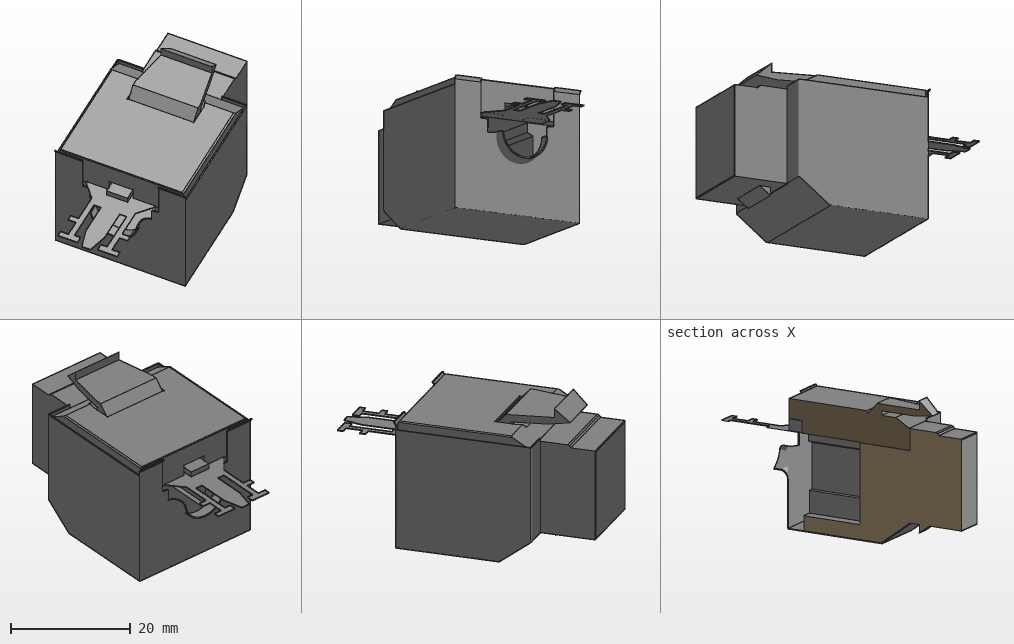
import cadquery as cq
import math


SHELL_WIDTH = 24.0
SHELL_LENGTH = 24.0
SHEET = 0.25
SIDE_TOP_Z = 21.3
BEND_RADIUS = 0.3
SLOPE_END_Z = 4.35
SLOPE_START_Y = 18.2
LIP_BASE_Z = 22.1
LIP_REACH = 0.4
LIP_RISE = 0.6

WINDOW_HALF_WIDTH = 7.05
WINDOW_LOWER_HALF_WIDTH = 5.75
WINDOW_STEP_Z = 16.0
WINDOW_CORNER_RADIUS = 0.3

NECK_AXIS_Z = 13.75
NECK_OUTER_RADIUS = 4.35
NECK_LENGTH = 2.6
FLARE_RADIUS = 1.3
NECK_CORNER_RADIUS = 0.65

CORE_HALF_WIDTH = 11.55
CORE_REAR_Y = 3.2
NOSE_HALF_WIDTH = 7.33
NOSE_END_Y = 33.75
NOSE_TOP_Z = 20.8
NOSE_END_TOP_Z = 20.35
NOSE_STEP_Y = 29.35
NOSE_STEP_RUN = 0.25
NOSE_SHOULDER_Y = 28.8
NOSE_SHOULDER_Z = 20.65
NOSE_EDGE_CHAMFER = 0.15
FOOT_TIP_Y = 27.5
CATCH_Y = 25.5
FOOT_DEPTH = 1.45
FOOT_HALF_WIDTH = 4.23

CAVITY_TOP_HALF_WIDTH = 3.75
CAVITY_MID_HALF_WIDTH = 4.9
CAVITY_LOW_HALF_WIDTH = 4.0
CAVITY_TAPER_TOP_Z = 15.35
CAVITY_TAPER_LOW_Z = 14.85
CAVITY_LEDGE_Z = 6.75
CAVITY_FLOOR_Z = 2.8
CAVITY_DEPTH = 10.8

COVER_REAR_Y = 0.3
COVER_END_Y = 23.6
COVER_BOTTOM_Z = 17.0
COVER_TOP_Z = 22.75
COVER_SLOPE_TOP_Y = 20.25
COVER_REAR_CHAMFER = 0.15
COVER_SIDE_CHAMFER_WIDTH = 0.35
COVER_SIDE_CHAMFER_HEIGHT = 0.15
LATCH_BASE_Y = 15.6
LATCH_BEND_Y = 17.4
LATCH_ROOT_Y = 18.3
LATCH_KINK_Y = 24.55
LATCH_TIP_Y = 28.15
LATCH_ARM_BOTTOM_Z = 23.0
LATCH_ARM_TOP_Z = 24.3
LATCH_TIP_Z = 23.55
LATCH_TOP_Z = 25.85
LATCH_TIP_HALF_WIDTH = 4.23
LATCH_ROOT_HALF_WIDTH = 6.0

POCKET_FLOOR_Z = 22.3
POCKET_HALF_WIDTH = 6.15
POCKET_REAR_Y = 15.45
POCKET_TAPER_Y = 19.35
POCKET_END_Y = 21.05
POCKET_END_HALF_WIDTH = 5.65

SLOT_HALF_WIDTH = 2.2
SLOT_TOP_Z = 19.15
SLOT_END_Y = 2.8
BLOCK_HALF_WIDTH = 1.93
BLOCK_BOTTOM_Z = 17.5
BLOCK_TOP_Z = 18.5
BLOCK_REACH = 1.25

TONGUE_THICKNESS = 0.15
TONGUE_ROOT_HALF_WIDTH = 6.3
TONGUE_INNER_Y = 2.8
TONGUE_TIP_Y = -13.2
FLARE_END_Y = -2.65
LEG_OUTER_X = 4.05
LEG_INNER_X = 3.0
PRONG_HALF_WIDTH = 1.75
PRONG_TAPER_Y = -9.67
PRONG_TIP_HALF_WIDTH = 0.8
GAP_START_Y = -3.9
BARB_OUTER_X = 5.5
BARB_WIDTH = 1.05
UPPER_BARB_Y = -7.7
LEG_END_Y = -12.7
TOE_INNER_X = 1.9
TOE_WIDTH = 1.25

shell_half_width = SHELL_WIDTH / 2
inner_half_width = shell_half_width - SHEET
inner_end_y = SHELL_LENGTH - SHEET
tongue_top_z = COVER_BOTTOM_Z + TONGUE_THICKNESS
bore_radius = NECK_OUTER_RADIUS - SHEET
flare_outer_radius = NECK_OUTER_RADIUS + FLARE_RADIUS
slope_angle = math.atan2(SLOPE_END_Z, SHELL_LENGTH - SLOPE_START_Y)
slope_inset = SHEET * math.tan(slope_angle / 2)
inner_slope_start_y = SLOPE_START_Y - slope_inset
inner_slope_end_z = SHEET + (inner_end_y - inner_slope_start_y) * math.tan(slope_angle)


def box(x0, x1, y0, y1, z0, z1):
    return cq.Workplane("XY").box(x1 - x0, y1 - y0, z1 - z0, centered=False).translate((x0, y0, z0))


def side_extrusion(points, half_width):
    """Extrude a (y, z) outline symmetrically across x."""
    return cq.Workplane("YZ").polyline(points).close().extrude(half_width, both=True)


def mirrored_outline(right_points):
    """Complete an outline from its right half, listed from one end of the axis to the other."""
    return right_points + [(-x, v) for x, v in reversed(right_points)]


def rear_cutter(right_points, y0, y1):
    """Extrude a symmetric (x, z) outline from y0 to y1."""
    outline = cq.Workplane("XZ", origin=(0, y1, 0)).polyline(mirrored_outline(right_points)).close()
    return outline.extrude(y1 - y0)


def inner_outline(rear_y, top_z):
    """Side outline that rests on the floor and sloped floor of the shell."""
    return [
        (rear_y, SHEET),
        (inner_slope_start_y, SHEET),
        (inner_end_y, inner_slope_end_z),
        (inner_end_y, top_z),
        (rear_y, top_z),
    ]


def shell_tray():
    outer = side_extrusion(
        [
            (0, 0),
            (SLOPE_START_Y, 0),
            (SHELL_LENGTH, SLOPE_END_Z),
            (SHELL_LENGTH, SIDE_TOP_Z),
            (SHEET, SIDE_TOP_Z),
            (SHEET, LIP_BASE_Z),
            (0, LIP_BASE_Z),
        ],
        shell_half_width,
    )
    outer = outer.edges("<Z").edges("|Y or <Y").fillet(BEND_RADIUS)
    outer = outer.edges("|Z").edges(">Y").fillet(BEND_RADIUS)
    void = side_extrusion(inner_outline(SHEET, LIP_BASE_Z), inner_half_width)
    return outer.cut(void)


def shell_window():
    window = rear_cutter(
        [
            (WINDOW_LOWER_HALF_WIDTH, NECK_AXIS_Z),
            (WINDOW_LOWER_HALF_WIDTH, WINDOW_STEP_Z),
            (WINDOW_HALF_WIDTH, WINDOW_STEP_Z),
            (WINDOW_HALF_WIDTH, COVER_TOP_Z),
        ],
        0,
        SHEET,
    )
    corners = window.edges("|Y").edges(cq.selectors.BoxSelector(
        (-shell_half_width, -SHEET, WINDOW_STEP_Z - SHEET),
        (shell_half_width, SHELL_LENGTH, WINDOW_STEP_Z + SHEET),
    ))
    return corners.fillet(WINDOW_CORNER_RADIUS)


def neck():
    """Lower half of a flared tube with the wall thickness of the sheet."""
    diagonal = math.sqrt(0.5)
    inner_flare = FLARE_RADIUS + SHEET
    profile = (
        cq.Workplane("XY")
        .moveTo(flare_outer_radius, 0)
        .threePointArc(
            (flare_outer_radius - FLARE_RADIUS * diagonal, FLARE_RADIUS * (diagonal - 1)),
            (NECK_OUTER_RADIUS, -FLARE_RADIUS),
        )
        .lineTo(NECK_OUTER_RADIUS, -NECK_LENGTH)
        .lineTo(bore_radius, -NECK_LENGTH)
        .lineTo(bore_radius, -FLARE_RADIUS)
        .threePointArc(
            (flare_outer_radius - inner_flare * diagonal, inner_flare * diagonal - FLARE_RADIUS),
            (flare_outer_radius, SHEET),
        )
        .close()
    )
    half_tube = profile.revolve(180, (0, 0, 0), (0, 1, 0)).translate((0, 0, NECK_AXIS_Z))
    rounder = (
        box(-shell_half_width, shell_half_width, -NECK_LENGTH, SHEET, 0, NECK_AXIS_Z)
        .edges("<Y and >Z")
        .fillet(NECK_CORNER_RADIUS)
    )
    return half_tube.intersect(rounder)


def neck_opening():
    return cq.Workplane("XZ", origin=(0, SHEET, NECK_AXIS_Z)).circle(flare_outer_radius).extrude(SHEET)


def lip():
    """Strip along the top of the rear wall, bent outwards."""
    profile = [
        (0, LIP_BASE_Z),
        (-LIP_REACH, LIP_BASE_Z + LIP_RISE),
        (SHEET - LIP_REACH, LIP_BASE_Z + LIP_RISE),
        (SHEET, LIP_BASE_Z),
    ]
    strip = side_extrusion(profile, shell_half_width)
    gap = box(
        -WINDOW_HALF_WIDTH, WINDOW_HALF_WIDTH, -LIP_REACH, SHEET, LIP_BASE_Z, LIP_BASE_Z + LIP_RISE
    )
    return strip.cut(gap)


def make_shell():
    nose_opening = box(
        -NOSE_HALF_WIDTH, NOSE_HALF_WIDTH, inner_end_y, SHELL_LENGTH, SLOPE_END_Z, SIDE_TOP_Z
    )
    tray = shell_tray().cut(nose_opening).cut(neck_opening()).cut(shell_window())
    return tray.union(neck()).union(lip())


def cavity():
    return rear_cutter(
        [
            (CAVITY_LOW_HALF_WIDTH, CAVITY_FLOOR_Z),
            (CAVITY_LOW_HALF_WIDTH, CAVITY_LEDGE_Z),
            (CAVITY_MID_HALF_WIDTH, CAVITY_LEDGE_Z),
            (CAVITY_MID_HALF_WIDTH, CAVITY_TAPER_LOW_Z),
            (CAVITY_TOP_HALF_WIDTH, CAVITY_TAPER_TOP_Z),
            (CAVITY_TOP_HALF_WIDTH, COVER_BOTTOM_Z),
        ],
        CORE_REAR_Y,
        CORE_REAR_Y + CAVITY_DEPTH,
    )


def make_jack():
    core = side_extrusion(inner_outline(CORE_REAR_Y, COVER_BOTTOM_Z), CORE_HALF_WIDTH)
    nose = side_extrusion(
        [
            (inner_end_y, SLOPE_END_Z),
            (NOSE_END_Y, SLOPE_END_Z),
            (NOSE_END_Y, NOSE_END_TOP_Z),
            (NOSE_STEP_Y, NOSE_END_TOP_Z),
            (NOSE_STEP_Y - NOSE_STEP_RUN, NOSE_SHOULDER_Z),
            (NOSE_SHOULDER_Y, NOSE_TOP_Z),
            (COVER_END_Y, NOSE_TOP_Z),
            (COVER_END_Y, COVER_BOTTOM_Z),
            (inner_end_y, COVER_BOTTOM_Z),
        ],
        NOSE_HALF_WIDTH,
    )
    nose = nose.faces(">Y").edges().chamfer(NOSE_EDGE_CHAMFER)
    foot = side_extrusion(
        [(CATCH_Y, SLOPE_END_Z), (FOOT_TIP_Y, SLOPE_END_Z), (CATCH_Y, SLOPE_END_Z - FOOT_DEPTH)],
        FOOT_HALF_WIDTH,
    )
    return core.union(nose).union(foot).cut(cavity())


def latch():
    side = side_extrusion(
        [
            (LATCH_BASE_Y, POCKET_FLOOR_Z),
            (LATCH_BEND_Y, LATCH_ARM_TOP_Z),
            (CATCH_Y, LATCH_ARM_TOP_Z),
            (CATCH_Y, LATCH_TOP_Z),
            (LATCH_TIP_Y, LATCH_TIP_Z),
            (LATCH_KINK_Y, LATCH_ARM_BOTTOM_Z),
            (LATCH_ROOT_Y, LATCH_ARM_BOTTOM_Z),
            (LATCH_ROOT_Y, POCKET_FLOOR_Z),
        ],
        LATCH_ROOT_HALF_WIDTH,
    )
    plan_points = mirrored_outline(
        [
            (LATCH_ROOT_HALF_WIDTH, LATCH_BASE_Y),
            (LATCH_ROOT_HALF_WIDTH, LATCH_ROOT_Y),
            (LATCH_TIP_HALF_WIDTH, LATCH_TIP_Y),
        ]
    )
    plan = cq.Workplane("XY").polyline(plan_points).close().extrude(LATCH_TOP_Z)
    return side.intersect(plan)


def latch_pocket():
    outline = mirrored_outline(
        [
            (POCKET_HALF_WIDTH, POCKET_REAR_Y),
            (POCKET_HALF_WIDTH, POCKET_TAPER_Y),
            (POCKET_END_HALF_WIDTH, POCKET_END_Y),
        ]
    )
    pocket = cq.Workplane("XY").polyline(outline).close().extrude(COVER_TOP_Z - POCKET_FLOOR_Z)
    return pocket.translate((0, 0, POCKET_FLOOR_Z))


def side_chamfer_cutter():
    """Wedge that bevels the top side edge of the cover at +x."""
    return (
        cq.Workplane("XZ")
        .polyline(
            [
                (CORE_HALF_WIDTH, COVER_TOP_Z),
                (CORE_HALF_WIDTH - COVER_SIDE_CHAMFER_WIDTH, COVER_TOP_Z),
                (CORE_HALF_WIDTH, COVER_TOP_Z - COVER_SIDE_CHAMFER_HEIGHT),
            ]
        )
        .close()
        .extrude(-SHELL_LENGTH)
    )


def make_cover(tongue):
    body = side_extrusion(
        [
            (COVER_REAR_Y, COVER_BOTTOM_Z),
            (COVER_END_Y, COVER_BOTTOM_Z),
            (COVER_END_Y, NOSE_TOP_Z),
            (COVER_SLOPE_TOP_Y, COVER_TOP_Z),
            (COVER_REAR_Y, COVER_TOP_Z),
        ],
        CORE_HALF_WIDTH,
    )
    body = body.faces(">Z").edges("<Y").chamfer(COVER_REAR_CHAMFER)
    bevel = side_chamfer_cutter()
    body = body.cut(bevel).cut(bevel.mirror("YZ"))
    slot = box(-SLOT_HALF_WIDTH, SLOT_HALF_WIDTH, 0, SLOT_END_Y, tongue_top_z, SLOT_TOP_Z)
    return body.cut(slot).cut(latch_pocket()).union(latch()).cut(tongue)


def make_tongue():
    lower_barb_y = LEG_END_Y + BARB_WIDTH
    outline = mirrored_outline(
        [
            (TONGUE_ROOT_HALF_WIDTH, TONGUE_INNER_Y),
            (TONGUE_ROOT_HALF_WIDTH, 0),
            (LEG_OUTER_X, FLARE_END_Y),
            (LEG_OUTER_X, UPPER_BARB_Y),
            (BARB_OUTER_X, UPPER_BARB_Y),
            (BARB_OUTER_X, UPPER_BARB_Y - BARB_WIDTH),
            (LEG_OUTER_X, UPPER_BARB_Y - BARB_WIDTH),
            (LEG_OUTER_X, lower_barb_y),
            (BARB_OUTER_X, lower_barb_y),
            (BARB_OUTER_X, LEG_END_Y),
            (TOE_INNER_X, LEG_END_Y),
            (TOE_INNER_X, LEG_END_Y + TOE_WIDTH),
            (LEG_INNER_X, LEG_END_Y + TOE_WIDTH),
            (LEG_INNER_X, GAP_START_Y),
            (PRONG_HALF_WIDTH, GAP_START_Y),
            (PRONG_HALF_WIDTH, PRONG_TAPER_Y),
            (PRONG_TIP_HALF_WIDTH, TONGUE_TIP_Y),
        ]
    )
    sheet = cq.Workplane("XY").polyline(outline).close().extrude(TONGUE_THICKNESS)
    return sheet.translate((0, 0, COVER_BOTTOM_Z))


def make_slide_block():
    return box(
        -BLOCK_HALF_WIDTH, BLOCK_HALF_WIDTH, -BLOCK_REACH, SLOT_END_Y, BLOCK_BOTTOM_Z, BLOCK_TOP_Z
    )


shell = make_shell()
jack = make_jack()
tongue = make_tongue()
cover = make_cover(tongue)
slide_block = make_slide_block()

bodies = [shell, jack, cover, tongue, slide_block]
result = cq.Compound.makeCompound([body.solids().val() for body in bodies])